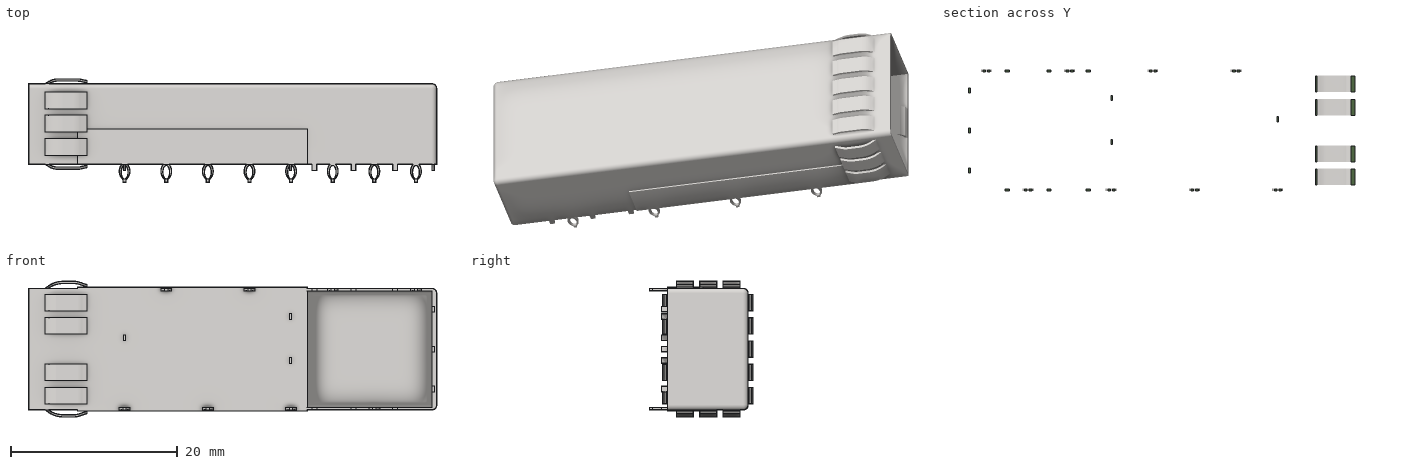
import cadquery as cq

LENGTH = 49.0
DEPTH = 9.7
HALF_HEIGHT = 7.3
SHEET = 0.3
BEND_RADIUS = 0.6

PANEL_LENGTH = 33.45
PANEL_THICKNESS = 0.45
FLAP_START = 5.85
FLAP_DEPTH = 4.25
FLAP_THICKNESS = 0.15
LIP_WIDTH = 2 * SHEET

PIN_COUNT = 8
FIRST_PIN_X = 11.5
PIN_PITCH = 5.0
PIN_LENGTH = 2.15
PIN_BASE_WIDTH = 0.75
PIN_WIDTH = 1.25
PIN_WIDEST_DEPTH = 1.05
PIN_NECK_DEPTH = 1.8
PIN_TIP_WIDTH = 0.4
EYE_LENGTH = 1.6
EYE_WIDTH = 0.8
EYE_DEPTH = 0.95

TAB_LENGTH = 0.75
TAB_WIDTH = 0.7
SIDE_TAB_WIDTH = 0.6
TAB_THICKNESS = 0.25
PANEL_TAB_POSITIONS = [(11.5, 1.35), (31.45, 3.9), (31.45, -1.35)]
SIDE_TAB_XS = [34.3, 39.0, 44.0]
END_TAB_ZS = [-4.8, 0.0, 4.8]

SPRING_START = 1.95
SPRING_END = 7.0
SPRING_THICKNESS = 0.3
SPRING_PITCH = 2.8
SPRING_WIDTH = 1.95
SIDE_SPRING_WIDTH = 2.05
LOW_SPRING_HEIGHT = 0.6
SIDE_SPRING_HEIGHT = 0.855
SIDE_SPRING_MIDDLE_Y = 4.9
PANEL_SPRING_ROWS = [-2, -1, 1, 2]
BACK_SPRING_ROWS = [-2, -1, 0, 1, 2]
SIDE_SPRING_ROWS = [-1, 0, 1]

TONGUE_WIDTH = 4.1
TONGUE_KNEE = (0.2, 0.9)
TONGUE_TIP = (0.75, 1.25)


def block(x_range, y_range, z_range):
    """Box spanning the given (low, high) ranges."""
    sizes = [high - low for low, high in (x_range, y_range, z_range)]
    corner = (x_range[0], y_range[0], z_range[0])
    return cq.Workplane("XY").box(*sizes, centered=False).translate(corner)


def around(center, width):
    """Range of the given width about a center."""
    return (center - width / 2, center + width / 2)


def cage_volume(wall_offset, overrun):
    """Cage envelope moved inward by wall_offset and extended by overrun past the open sides."""
    half_height = HALF_HEIGHT - wall_offset
    volume = block(
        (-overrun, LENGTH - wall_offset),
        (-overrun, DEPTH - wall_offset),
        (-half_height, half_height),
    )
    bends = volume.faces(">X or >Y").edges("not (<X or <Y)")
    return bends.fillet(BEND_RADIUS - wall_offset)


def make_shell():
    """Bent walls, the front panel and the lip along the closed end."""
    envelope = cage_volume(wall_offset=0, overrun=0)
    walls = envelope.cut(cage_volume(wall_offset=SHEET, overrun=SHEET))
    side_range = (-HALF_HEIGHT, HALF_HEIGHT)
    panel = block((0, PANEL_LENGTH), (0, PANEL_THICKNESS), side_range)
    lip = block((LENGTH - LIP_WIDTH, LENGTH), (0, PANEL_THICKNESS), side_range)
    return walls.union(panel).union(lip.intersect(envelope))


def make_flap():
    """Cover flap on the +Z side."""
    return block(
        (FLAP_START, PANEL_LENGTH),
        (0, FLAP_DEPTH),
        (HALF_HEIGHT - SHEET, HALF_HEIGHT + FLAP_THICKNESS),
    )


def make_pin(x):
    """Eye-of-needle pin pointing to -Y, in the plane of the +Z wall."""
    base = PIN_BASE_WIDTH / 2
    tip = PIN_TIP_WIDTH / 2
    widest = PIN_WIDTH / 2
    outline = (
        cq.Workplane("XY")
        .moveTo(-base, SHEET)
        .lineTo(-base, 0)
        .threePointArc((-widest, -PIN_WIDEST_DEPTH), (-tip, -PIN_NECK_DEPTH))
        .lineTo(-tip, -PIN_LENGTH)
        .lineTo(tip, -PIN_LENGTH)
        .lineTo(tip, -PIN_NECK_DEPTH)
        .threePointArc((widest, -PIN_WIDEST_DEPTH), (base, 0))
        .lineTo(base, SHEET)
        .close()
        .extrude(SHEET)
    )
    eye = cq.Workplane("XY").center(0, -EYE_DEPTH).ellipse(EYE_WIDTH / 2, EYE_LENGTH / 2).extrude(SHEET)
    return outline.cut(eye).translate((x, 0, HALF_HEIGHT - SHEET))


def make_spring(width, foot, arc_ends, crown_end, tail_arc_ends, tail_tip_height):
    """Strip bowed toward +Y from the plane Y = 0, centered on Z = 0; stations are (x, height)."""
    bow = (
        cq.Workplane("XY")
        .moveTo(SPRING_START, -SPRING_THICKNESS)
        .lineTo(SPRING_START, 0)
        .lineTo(*foot)
    )
    for station in arc_ends:
        bow = bow.tangentArcPoint(station, relative=False)
    bow = bow.lineTo(*crown_end)
    for station in tail_arc_ends:
        bow = bow.tangentArcPoint(station, relative=False)
    bow = (
        bow.lineTo(SPRING_END, tail_tip_height)
        .lineTo(SPRING_END, -SPRING_THICKNESS)
        .close()
        .extrude(width / 2, both=True)
    )
    return bow.cut(bow.translate((0, -SPRING_THICKNESS, 0)))


def make_springs():
    """Springs of the back and front panel, then those of the +Z side."""
    low_spring = make_spring(
        SPRING_WIDTH,
        foot=(2.45, 0.3),
        arc_ends=[(2.9, 0.5), (3.35, LOW_SPRING_HEIGHT)],
        crown_end=(5.95, LOW_SPRING_HEIGHT),
        tail_arc_ends=[(6.45, 0.5)],
        tail_tip_height=0.4,
    )
    high_spring = make_spring(
        SIDE_SPRING_WIDTH,
        foot=(2.45, 0.35),
        arc_ends=[(3.5, 0.8), (4.05, SIDE_SPRING_HEIGHT)],
        crown_end=(5.4, SIDE_SPRING_HEIGHT),
        tail_arc_ends=[(6.0, 0.8), (6.25, 0.7)],
        tail_tip_height=0.45,
    )
    back = [low_spring.translate((0, DEPTH, row * SPRING_PITCH)) for row in BACK_SPRING_ROWS]
    front_spring = low_spring.mirror("XZ")
    front = [front_spring.translate((0, 0, row * SPRING_PITCH)) for row in PANEL_SPRING_ROWS]
    side_spring = high_spring.rotate((0, 0, 0), (1, 0, 0), 90)
    side = [
        side_spring.translate((0, SIDE_SPRING_MIDDLE_Y + row * SPRING_PITCH, HALF_HEIGHT))
        for row in SIDE_SPRING_ROWS
    ]
    return back + front, side


def make_tab(x, z, x_size, z_size):
    """Short tab pointing to -Y from the front edge."""
    return block(around(x, x_size), (-TAB_LENGTH, SHEET), around(z, z_size))


def make_front_tabs():
    """Tabs on the front panel and on the inner half of the end lip."""
    panel_tabs = [make_tab(x, z, TAB_THICKNESS, TAB_WIDTH) for x, z in PANEL_TAB_POSITIONS]
    end_x = LENGTH - LIP_WIDTH + SHEET / 2
    return panel_tabs + [make_tab(end_x, z, SHEET, TAB_WIDTH) for z in END_TAB_ZS]


def make_side_tabs():
    """Tabs in the plane of the +Z wall."""
    middle_of_wall = HALF_HEIGHT - SHEET / 2
    return [make_tab(x, middle_of_wall, SIDE_TAB_WIDTH, SHEET) for x in SIDE_TAB_XS]


def make_tongue():
    """Strip bent inward from the panel's mouth edge, of constant thickness along X."""
    front_side = [(0, SHEET), (0, PANEL_THICKNESS), TONGUE_KNEE, TONGUE_TIP]
    rear_side = [(x + SHEET, y) for x, y in reversed(front_side)]
    outline = cq.Workplane("XY").polyline(front_side + rear_side).close()
    return outline.extrude(TONGUE_WIDTH / 2, both=True)


face_springs, side_springs = make_springs()

mirrored_features = [make_flap()] + side_springs + make_side_tabs()

pins = []
for index in range(PIN_COUNT):
    pin = make_pin(FIRST_PIN_X + index * PIN_PITCH)
    pins.append(pin if index % 2 else pin.mirror("XY"))

features = face_springs + make_front_tabs() + [make_tongue()] + pins
for feature in mirrored_features:
    features += [feature, feature.mirror("XY")]

result = make_shell()
for feature in features:
    result = result.union(feature)
result = result.clean()